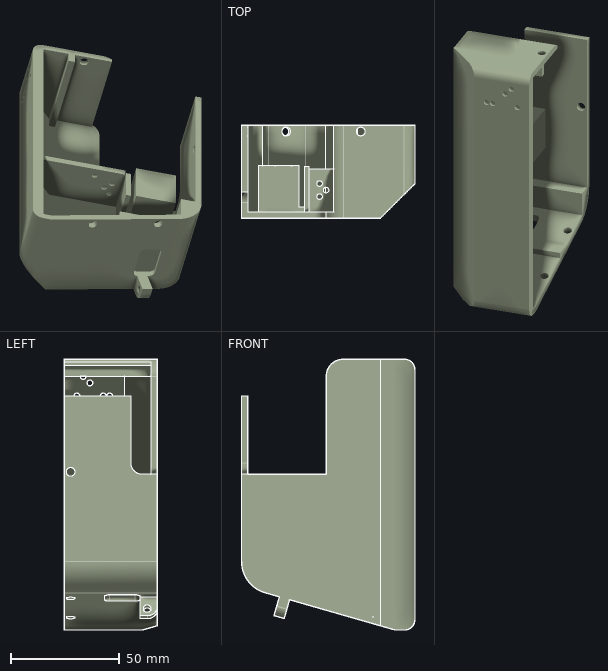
import cadquery as cq
import math

WIDTH = 80.0
DEPTH = 43.0
HEIGHT = 125.0
WALL = 3.0
RIGHT_WALL = 5.0
INNER_RIGHT = WIDTH - RIGHT_WALL
INNER_TOP = HEIGHT - WALL

SLOPE = math.radians(16.0)
SLOPE_END_X = 71.0
RIGHT_RADIUS = 5.0
HOOD_RADIUS = 8.0
HEEL_RADIUS = 15.0
HEEL_INNER_RADIUS = 13.0
COLUMN_X = 39.0
SILL_Z = 72.0
LEFT_WALL_TOP = 108.0
CHAMFER = 16.0

HOOD_EDGE_X = 42.5
LEFT_NOTCH_DEPTH = 12.2
LEFT_NOTCH_RADIUS = 5.0

SCREW_DIAMETER = 4.0
SCREW_Y = 40.0
TOP_SCREW_X = 55.0
LEFT_SCREW_Z = 73.0
FLOOR_SCREWS_X = (19.8, 50.8)

PIN_DIAMETER = 2.55
WALL_PINS = ((34.2, 117.0), (31.1, 114.0), (37.1, 108.0), (25.0, 108.0), (22.0, 108.0))
DECK_PINS = ((36.0, 16.0), (39.0, 13.0), (36.0, 10.0), (45.0, 19.0))

RIB_X = 60.0
RIB_BOTTOM = HEIGHT - HOOD_RADIUS
HEEL_PAD_END = 9.8
HEEL_PAD_TOP = 32.0
FLOOR_PAD_START = 29.6
FLOOR_PAD_END = 38.8
BLOCK_X = (7.8, 26.6)
BLOCK_BACK = 24.3
BLOCK_TOP = 71.5
BLOCK_BOTTOM = 51.5
DECK_X = 31.2
DECK_BACK = 22.8
DECK_TOP = 70.3
DECK_THICKNESS = 3.0
DIVIDER_X = 29.0
DIVIDER_BACK = 23.8
DIVIDER_TOP = DECK_TOP - DECK_THICKNESS
TIE_BACK = 5.3

SLOT_X = (14.3, 24.3)
SLOT_Y = (8.1, 24.3)
SLOT_RADIUS = 2.2

TAB_X = 17.4
TAB_THICKNESS = 5.0
TAB_WIDTH = 8.0
TAB_LENGTH = 9.0
TAB_RADIUS = 4.5
TAB_HOLE_DIAMETER = 3.5
TAB_HOLE_Y = 4.7
TAB_HOLE_DROP = 5.6


def floor_z(x):
    """Height of the outer floor surface at x."""
    return (SLOPE_END_X - x) * math.tan(SLOPE)


def inner_floor_z(x):
    """Height of the inner floor surface at x."""
    return floor_z(x) + WALL / math.cos(SLOPE)


def box(x0, x1, y0, y1, z0, z1):
    """Block between two opposite corners."""
    block = cq.Workplane("XY").box(x1 - x0, y1 - y0, z1 - z0, centered=False)
    return block.translate((x0, y0, z0))


def prism(points, y0, y1):
    """Extrude an XZ outline from y0 to y1."""
    return cq.Workplane("XZ").polyline(points).close().extrude(-(y1 - y0)).translate((0, y0, 0))


def round_edge(solid, x, z, radius):
    """Round the edge along Y that passes through (x, z)."""
    tiny = 0.01
    near = cq.selectors.BoxSelector((x - tiny, -1, z - tiny), (x + tiny, DEPTH * 2, z + tiny))
    return solid.edges("|Y").edges(near).fillet(radius)


def corner_wedge(start_x, end_x):
    """45 degree triangular prism that fills the front right vertical corner."""
    points = [(start_x, 0), (end_x, 0), (end_x, end_x - start_x)]
    return cq.Workplane("XY").polyline(points).close().extrude(HEIGHT)


def outer_body():
    """Solid housing with its rounded side profile and chamfered front corner."""
    outline = [
        (0, floor_z(0)),
        (SLOPE_END_X, 0),
        (WIDTH, 0),
        (WIDTH, HEIGHT),
        (COLUMN_X, HEIGHT),
        (COLUMN_X, LEFT_WALL_TOP),
        (0, LEFT_WALL_TOP),
    ]
    body = prism(outline, 0, DEPTH)
    body = round_edge(body, 0, floor_z(0), HEEL_RADIUS)
    body = round_edge(body, COLUMN_X, HEIGHT, HOOD_RADIUS)
    for z in (0, HEIGHT):
        body = round_edge(body, WIDTH, z, RIGHT_RADIUS)
    return body.cut(corner_wedge(WIDTH - CHAMFER, WIDTH))


def cavity():
    """Interior space, open at the back; its front right corner follows the chamfer."""
    bottom_x = SLOPE_END_X + (WALL / math.cos(SLOPE) - WALL) / math.tan(SLOPE)
    outline = [
        (WALL, inner_floor_z(WALL)),
        (bottom_x, WALL),
        (INNER_RIGHT, WALL),
        (INNER_RIGHT, INNER_TOP),
        (WALL, INNER_TOP),
    ]
    space = prism(outline, WALL, DEPTH)
    space = round_edge(space, WALL, inner_floor_z(WALL), HEEL_INNER_RADIUS)
    wedge_start = WIDTH - CHAMFER - WALL * math.sqrt(2)
    return space.cut(corner_wedge(wedge_start, INNER_RIGHT))


def upper_openings():
    """Space cut away above the sill, the notch in the left wall and the hood edge."""
    front = box(0, COLUMN_X, 0, WALL, SILL_Z, HEIGHT)
    notch = box(-WALL, WALL, -LEFT_NOTCH_DEPTH, LEFT_NOTCH_DEPTH, SILL_Z, HEIGHT)
    notch = notch.edges("|X and >Y and <Z").fillet(LEFT_NOTCH_RADIUS)
    hood = box(WALL, HOOD_EDGE_X, WALL, DEPTH, SILL_Z, HEIGHT)
    return front.union(notch).union(hood)


def interior_parts():
    """Ribs, pads, block and drilled deck that stand inside the shell."""
    rib = box(RIB_X, RIB_X + WALL, WALL, DEPTH, RIB_BOTTOM, INNER_TOP)

    heel_pad = box(WALL, HEEL_PAD_END, WALL, DEPTH, 0, HEEL_PAD_TOP)
    floor_pad_top = inner_floor_z(FLOOR_PAD_START)
    floor_pad = box(FLOOR_PAD_START, FLOOR_PAD_END, WALL, DEPTH, 0, floor_pad_top)

    block = box(*BLOCK_X, WALL, BLOCK_BACK, BLOCK_BOTTOM, BLOCK_TOP)
    tie = box(BLOCK_X[1], DIVIDER_X, WALL, TIE_BACK, BLOCK_BOTTOM, BLOCK_TOP)
    divider = box(DIVIDER_X, DECK_X, WALL, DIVIDER_BACK, BLOCK_BOTTOM, DIVIDER_TOP)
    deck = box(DECK_X, INNER_RIGHT, WALL, DECK_BACK, DIVIDER_TOP, DECK_TOP)
    for x, y in DECK_PINS:
        deck = deck.cut(cq.Workplane("XY").center(x, y).circle(PIN_DIAMETER / 2).extrude(HEIGHT))

    parts = rib
    for piece in (heel_pad, floor_pad, block, tie, divider, deck):
        parts = parts.union(piece)
    return parts


def slot():
    """Rounded vertical opening through the sloping floor."""
    return box(*SLOT_X, *SLOT_Y, 0, BLOCK_BOTTOM).edges("|Z").fillet(SLOT_RADIUS)


def hinge_tab():
    """Ear standing square to the floor, rounded at its lower front corner."""
    ear = box(0, TAB_THICKNESS, 0, TAB_WIDTH, -TAB_LENGTH, WALL / 2)
    ear = ear.edges("|X and <Y and <Z").fillet(TAB_RADIUS)
    hole = (
        cq.Workplane("YZ")
        .center(TAB_HOLE_Y, -TAB_HOLE_DROP)
        .circle(TAB_HOLE_DIAMETER / 2)
        .extrude(TAB_THICKNESS)
    )
    ear = ear.cut(hole).rotate((0, 0, 0), (0, 1, 0), math.degrees(SLOPE))
    return ear.translate((TAB_X, 0, floor_z(TAB_X)))


def drill(diameter, start, direction, length):
    """Round cutter that begins at start and runs along direction."""
    base = cq.Vector(*start)
    axis = cq.Vector(*direction)
    return cq.Workplane(cq.Solid.makeCylinder(diameter / 2, length, base, axis))


def drilled_holes():
    """Cutters for the screw holes and the small holes in the right wall."""
    holes = drill(SCREW_DIAMETER, (TOP_SCREW_X, SCREW_Y, HEIGHT), (0, 0, -1), WALL)
    holes = holes.union(drill(SCREW_DIAMETER, (0, SCREW_Y, LEFT_SCREW_Z), (1, 0, 0), WALL))
    normal = (math.sin(SLOPE), 0, math.cos(SLOPE))
    for x in FLOOR_SCREWS_X:
        start = (x - WALL * normal[0], SCREW_Y, floor_z(x) - WALL * normal[2])
        holes = holes.union(drill(SCREW_DIAMETER, start, normal, 3 * WALL))
    for y, z in WALL_PINS:
        holes = holes.union(drill(PIN_DIAMETER, (INNER_RIGHT, y, z), (1, 0, 0), RIGHT_WALL))
    return holes


shell = outer_body()
inside = interior_parts().intersect(shell)
housing = shell.cut(cavity()).cut(upper_openings()).union(inside)
result = housing.cut(slot()).cut(drilled_holes()).union(hinge_tab())